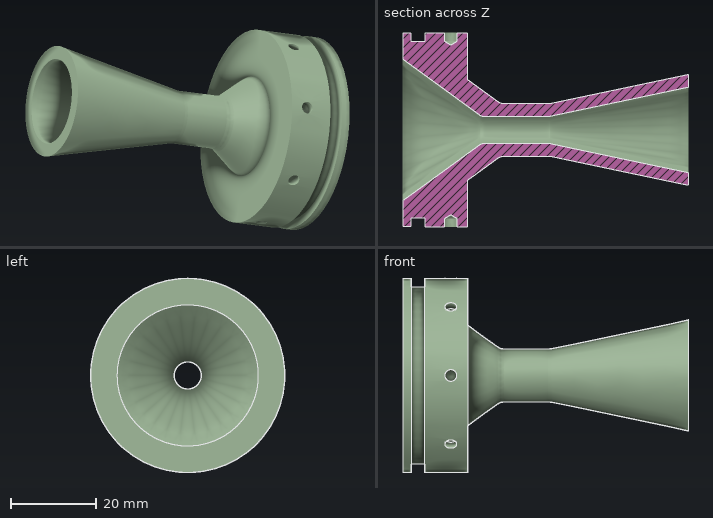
import cadquery as cq
import math

total_length = 67.1

flange_radius = 22.8
flange_length = 15.3
groove_radius = 20.8
groove_start = 2.0
groove_end = 5.1

inlet_cone_radius = 11.8
neck_radius = 6.25
neck_start = 22.95
neck_end = 34.6
exit_radius = 13.1
inlet_blend_radius = 2.7
exit_blend_radius = 4.0

bore_inlet_radius = 16.6
throat_radius = 3.15
wall = neck_radius - throat_radius
bore_exit_radius = exit_radius - wall
inlet_slope = (inlet_cone_radius - neck_radius) / (neck_start - flange_length)
throat_start = (bore_inlet_radius - throat_radius) / inlet_slope
throat_end = neck_end
throat_blend_radius = 1.0

hole_count = 8
hole_diameter = 2.75
hole_depth = 2.0
hole_position = 11.3
drill_point_angle = math.radians(118)
drill_point_length = hole_diameter / 2 / math.tan(drill_point_angle / 2)


def revolve_about_x(points):
    """Revolve a closed (x, radius) outline around the X axis."""
    return cq.Workplane("XY").polyline(points).close().revolve(360, (0, 0, 0), (1, 0, 0))


def ring_edges_at(x, radius):
    """Select the circular edges on a revolved body near one axial position."""
    reach = 0.1
    return cq.selectors.BoxSelector(
        (x - reach, -radius - reach, -radius - reach),
        (x + reach, radius + reach, radius + reach),
        boundingbox=True,
    )


def outer_body():
    body = revolve_about_x([
        (0, 0),
        (0, flange_radius),
        (groove_start, flange_radius),
        (groove_start, groove_radius),
        (groove_end, groove_radius),
        (groove_end, flange_radius),
        (flange_length, flange_radius),
        (flange_length, inlet_cone_radius),
        (neck_start, neck_radius),
        (neck_end, neck_radius),
        (total_length, exit_radius),
        (total_length, 0),
    ])
    body = body.edges(ring_edges_at(neck_start, neck_radius)).fillet(inlet_blend_radius)
    return body.edges(ring_edges_at(neck_end, neck_radius)).fillet(exit_blend_radius)


def bore():
    cutter = revolve_about_x([
        (0, 0),
        (0, bore_inlet_radius),
        (throat_start, throat_radius),
        (throat_end, throat_radius),
        (total_length, bore_exit_radius),
        (total_length, 0),
    ])
    return cutter.edges(ring_edges_at(throat_start, throat_radius)).fillet(throat_blend_radius)


def radial_hole(angle):
    outward = cq.Vector(0, math.cos(angle), math.sin(angle))
    start = cq.Vector(hole_position, 0, 0) + outward * (flange_radius - hole_depth)
    shank = cq.Solid.makeCylinder(hole_diameter / 2, 2 * hole_depth, start, outward)
    point = cq.Solid.makeCone(hole_diameter / 2, 0, drill_point_length, start, -outward)
    return shank.fuse(point)


result = outer_body().cut(bore())
for index in range(hole_count):
    result = result.cut(cq.Workplane(radial_hole(index * 2 * math.pi / hole_count)))